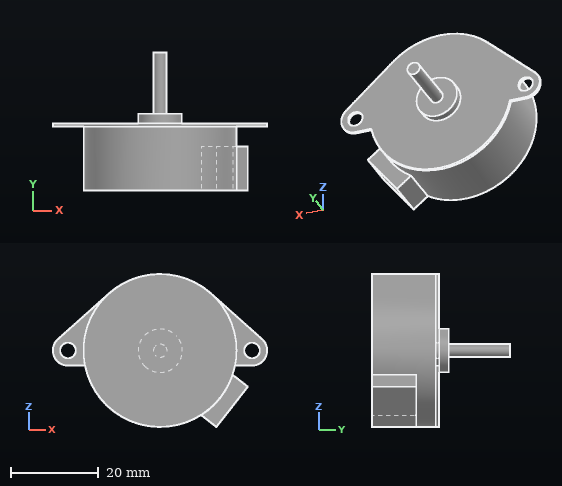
import cadquery as cq
import math

overall_width = 49.0
overall_depth = 31.6
housing_diameter = 35.0
lug_radius = 3.5
lug_hole_diameter = 3.55
plate_thickness = 0.75
boss_diameter = 10.0
boss_height = 2.2
shaft_diameter = 3.05
shaft_length = 14.0
connector_width = 11.7
connector_height = 10.15
connector_reach = 20.9
connector_angle = 38.0

housing_radius = housing_diameter / 2
lug_offset = overall_width / 2 - lug_radius
housing_depth = overall_depth - shaft_length - boss_height - plate_thickness
plate_top = housing_depth + plate_thickness
boss_top = plate_top + boss_height


def plane_at(y):
    """Sketch plane across the motor axis: local x is X, local y is Z, with its normal toward -Y."""
    return cq.Workplane(cq.Plane(origin=(0, y, 0), xDir=(1, 0, 0), normal=(0, -1, 0)))


def cylinder(y, diameter, length):
    """Round body on the motor axis, running from y toward +Y."""
    return plane_at(y).circle(diameter / 2).extrude(-length)


def make_mounting_plate():
    """Disc with two round-ended lugs: tangent edges above, straight edges below."""
    tangent_angle = math.acos((housing_radius - lug_radius) / lug_offset)
    tangent_x = math.cos(tangent_angle)
    tangent_z = math.sin(tangent_angle)
    corner_angle = (tangent_angle - math.pi / 2) / 2
    corner_x = lug_offset + lug_radius * math.cos(corner_angle)
    corner_z = lug_radius * math.sin(corner_angle)
    lug_tangent = (lug_offset + lug_radius * tangent_x, lug_radius * tangent_z)
    disc_tangent = (housing_radius * tangent_x, housing_radius * tangent_z)
    lug_bottom = (lug_offset, -lug_radius)
    disc_bottom = (math.sqrt(housing_radius**2 - lug_radius**2), -lug_radius)

    def mirrored(point):
        return (-point[0], point[1])

    outline = (
        plane_at(housing_depth)
        .moveTo(*disc_bottom)
        .lineTo(*lug_bottom)
        .threePointArc((corner_x, corner_z), lug_tangent)
        .lineTo(*disc_tangent)
        .threePointArc((0, housing_radius), mirrored(disc_tangent))
        .lineTo(*mirrored(lug_tangent))
        .threePointArc((-corner_x, corner_z), mirrored(lug_bottom))
        .lineTo(*mirrored(disc_bottom))
        .threePointArc((0, -housing_radius), disc_bottom)
        .close()
    )
    plate = outline.extrude(-plate_thickness)
    holes = (
        plane_at(housing_depth)
        .pushPoints([(-lug_offset, 0), (lug_offset, 0)])
        .circle(lug_hole_diameter / 2)
        .extrude(-plate_thickness)
    )
    return plate.cut(holes)


def make_connector():
    """Block on the side of the housing, its inner face curved to fit the housing wall."""
    block = (
        cq.Workplane("XY")
        .box(connector_reach, connector_height, connector_width, centered=(False, False, True))
        .rotate((0, 0, 0), (0, 1, 0), connector_angle)
    )
    return block.cut(cylinder(0, housing_diameter, housing_depth))


housing = cylinder(0, housing_diameter, housing_depth)
mounting_plate = make_mounting_plate()
boss = cylinder(plate_top, boss_diameter, boss_height)
shaft = cylinder(boss_top, shaft_diameter, shaft_length)
connector = make_connector()

result = cq.Compound.makeCompound(
    [housing.val(), mounting_plate.val(), boss.val(), shaft.val(), connector.solids().val()]
)